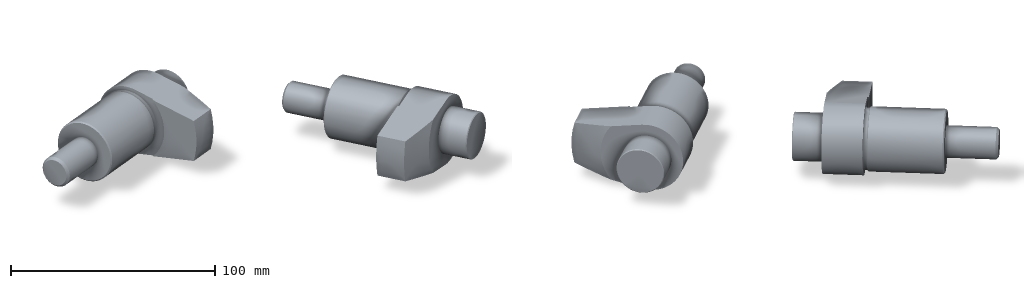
import cadquery as cq
import math

total_length = 101
hub_back = 14.9
hub_thickness = 20.2
hub_front = hub_back + hub_thickness
body_back = 37.5
body_front = 74.9
arm_front_step = 0.8

boss_radius = 12.0
hub_radius = 18.0
body_diameter = 32.0
body_radius = body_diameter / 2
neck_radius = 15.3
pin_radius = 8.0
relief_radius = 21.0
arm_tip_radius = 40.0

arm_tip_half_width = 11.1
back_slope_radius = 23.7
back_slope_depth = 6.1

boss_chamfer = 0.4
body_chamfer = 0.6
pin_chamfer = 1.2


def revolve_profile(points):
    """Turn (radius, distance from the back) points about the Y axis."""
    profile = [(radius, total_length / 2 - station) for radius, station in points]
    return cq.Workplane("XY").polyline(profile).close().revolve(360, (0, 0, 0), (0, 1, 0))


def make_shaft():
    """Boss, body and pin on one axis, with a round-bottomed neck behind the body."""
    shaft = revolve_profile([
        (0, 0),
        (boss_radius - boss_chamfer, 0),
        (boss_radius, boss_chamfer),
        (boss_radius, hub_front),
        (body_radius, hub_front),
        (body_radius, body_front - body_chamfer),
        (body_radius - body_chamfer, body_front),
        (pin_radius, body_front),
        (pin_radius, total_length - pin_chamfer),
        (pin_radius - pin_chamfer, total_length),
        (0, total_length),
    ])
    neck_middle = (hub_front + body_back) / 2
    neck_groove = (
        cq.Workplane("XY")
        .moveTo(body_radius, total_length / 2 - hub_front)
        .threePointArc(
            (neck_radius, total_length / 2 - neck_middle),
            (body_radius, total_length / 2 - body_back),
        )
        .close()
        .revolve(360, (0, 0, 0), (0, 1, 0))
    )
    return shaft.cut(neck_groove)


def make_lever():
    """Round hub whose tangent sides taper to a tip concentric with the hub."""
    tip_x = math.sqrt(arm_tip_radius**2 - arm_tip_half_width**2)
    tip_angle = math.atan2(arm_tip_half_width, tip_x)
    tangent_angle = tip_angle + math.acos(hub_radius / arm_tip_radius)
    tangent_x = hub_radius * math.cos(tangent_angle)
    tangent_z = hub_radius * math.sin(tangent_angle)
    arm_front = hub_front + arm_front_step

    outline = (
        cq.Workplane("XZ", origin=(0, total_length / 2 - hub_back, 0))
        .moveTo(tangent_x, tangent_z)
        .threePointArc((-hub_radius, 0), (tangent_x, -tangent_z))
        .lineTo(tip_x, -arm_tip_half_width)
        .threePointArc((arm_tip_radius, 0), (tip_x, arm_tip_half_width))
        .close()
        .extrude(arm_front - hub_back)
    )
    turned_limits = revolve_profile([
        (0, hub_back),
        (back_slope_radius, hub_back),
        (arm_tip_radius, hub_back + back_slope_depth),
        (arm_tip_radius, arm_front),
        (relief_radius, arm_front),
        (relief_radius, hub_front),
        (0, hub_front),
    ])
    return outline.intersect(turned_limits)


result = make_lever().union(make_shaft())